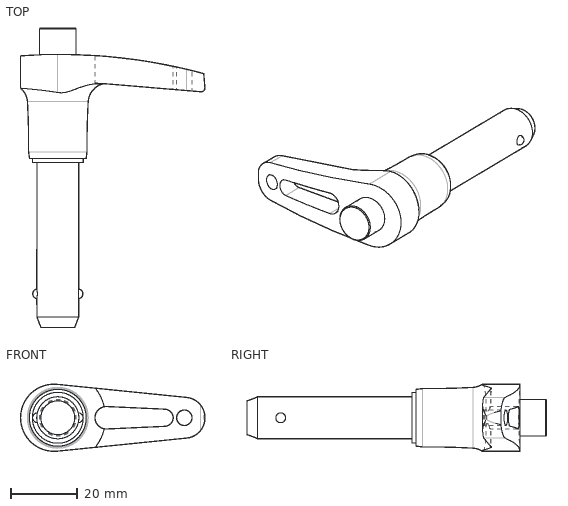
import cadquery as cq
import math


BUTTON_HEIGHT = 8.0
BUTTON_RADIUS = 5.55
BUTTON_CHAMFER = 0.3
BUTTON_ROOT_DEPTH = 2.0

HEAD_RADIUS = 10.155
HEAD_CENTRE_X = -1.1
TIP_RADIUS = 6.2
LEVER_LENGTH = 55.66
TIP_END_X = HEAD_CENTRE_X - HEAD_RADIUS + LEVER_LENGTH
TIP_CENTRE_X = TIP_END_X - TIP_RADIUS

CROWN_SUMMIT_X = 0.8
CROWN_RADIUS = 164.0
UNDERSIDE_DEPTH = 7.7
UNDERSIDE_ANGLE = 4.8
TIP_EDGE_FILLET = 1.2

SLOT_INNER_X = 14.6
SLOT_INNER_RADIUS = 3.35
SLOT_OUTER_X = 32.2
SLOT_OUTER_RADIUS = 2.55
HOLE_X = 38.15
HOLE_RADIUS = 2.3

FLARE_RADIUS = 5.7
FLARE_START_ANGLE = 4.0
SLEEVE_TOP_DEPTH = 14.2
SLEEVE_TOP_RADIUS = 9.2
SLEEVE_WAIST_RADIUS = 8.9
SLEEVE_BASE_DEPTH = 29.4
SLEEVE_BASE_RADIUS = 8.85
SLEEVE_END_DEPTH = 31.45
SLEEVE_END_RADIUS = 8.57
COLLAR_DEPTH = 32.65
COLLAR_RADIUS = 7.68

OVERALL_LENGTH = 90.42
PIN_LENGTH = OVERALL_LENGTH - BUTTON_HEIGHT
PIN_RADIUS = 6.35
PIN_END_RADIUS = 5.1
PIN_TAPER_LENGTH = 3.3
BALL_DEPTH = 72.2
BALL_RADIUS = 1.5
BALL_REACH = 7.58


def revolve_about_pin(profile):
    return profile.close().revolve(360, (0, 0, 0), (0, 1, 0))


def tapered_outline(x1, r1, x2, r2, depth):
    """Prism bounded by two circles on the X axis and their common outer tangents."""
    tilt = math.asin((r1 - r2) / (x2 - x1))
    dx, dz = math.sin(tilt), math.cos(tilt)
    return (
        cq.Workplane("XZ")
        .moveTo(x1 + r1 * dx, r1 * dz)
        .lineTo(x2 + r2 * dx, r2 * dz)
        .threePointArc((x2 + r2, 0), (x2 + r2 * dx, -r2 * dz))
        .lineTo(x1 + r1 * dx, -r1 * dz)
        .threePointArc((x1 - r1, 0), (x1 + r1 * dx, r1 * dz))
        .close()
        .extrude(depth)
    )


def lever_blank():
    return tapered_outline(HEAD_CENTRE_X, HEAD_RADIUS, TIP_CENTRE_X, TIP_RADIUS, SLEEVE_TOP_DEPTH)


def lever_side_profile():
    """Slab between the crowned top and the sloping underside, wider than the lever."""
    slope = math.radians(UNDERSIDE_ANGLE)
    head_end_x = HEAD_CENTRE_X - HEAD_RADIUS

    def underside(x):
        return (x, -UNDERSIDE_DEPTH - x * math.tan(slope))

    def crown(x):
        run = x - CROWN_SUMMIT_X
        return (x, math.sqrt(CROWN_RADIUS**2 - run**2) - CROWN_RADIUS)

    corner_trim = TIP_EDGE_FILLET * (math.cos(slope) + math.sin(slope) - 1)
    tip_bottom = underside(TIP_END_X + corner_trim)
    tip_height = crown(TIP_END_X)[1] - tip_bottom[1]
    tip_top = crown(tip_bottom[0] - tip_height * math.tan(slope))
    crown_middle = crown((CROWN_SUMMIT_X + tip_top[0]) / 2)
    return (
        cq.Workplane("XY")
        .moveTo(*crown(head_end_x))
        .threePointArc(crown_middle, tip_top)
        .lineTo(*tip_bottom)
        .lineTo(*underside(head_end_x))
        .close()
        .extrude(HEAD_RADIUS, both=True)
        .edges("|Z and >X")
        .fillet(TIP_EDGE_FILLET)
    )


def head_flare():
    """Body of revolution that sweeps from the sleeve out to the lever's underside."""
    start_angle = math.radians(FLARE_START_ANGLE)
    end_angle = math.radians(90 - UNDERSIDE_ANGLE)
    centre_x = SLEEVE_TOP_RADIUS + FLARE_RADIUS * math.cos(start_angle)
    centre_y = -SLEEVE_TOP_DEPTH - FLARE_RADIUS * math.sin(start_angle)

    def on_arc(angle):
        return (centre_x - FLARE_RADIUS * math.cos(angle), centre_y + FLARE_RADIUS * math.sin(angle))

    arc_middle = on_arc((start_angle + end_angle) / 2)
    rim = on_arc(end_angle)
    core_y = -UNDERSIDE_DEPTH / 2
    return revolve_about_pin(
        cq.Workplane("XY")
        .lineTo(0, -SLEEVE_TOP_DEPTH)
        .lineTo(SLEEVE_TOP_RADIUS, -SLEEVE_TOP_DEPTH)
        .threePointArc(arc_middle, rim)
        .lineTo(rim[0], core_y)
        .lineTo(0, core_y)
    )


def lever_openings():
    slot = tapered_outline(SLOT_INNER_X, SLOT_INNER_RADIUS, SLOT_OUTER_X, SLOT_OUTER_RADIUS, SLEEVE_TOP_DEPTH)
    hole = cq.Workplane("XZ").center(HOLE_X, 0).circle(HOLE_RADIUS).extrude(SLEEVE_TOP_DEPTH)
    return slot.union(hole)


def button():
    return (
        cq.Workplane("XZ", origin=(0, -BUTTON_ROOT_DEPTH, 0))
        .circle(BUTTON_RADIUS)
        .extrude(-BUTTON_HEIGHT - BUTTON_ROOT_DEPTH)
        .faces(">Y")
        .chamfer(BUTTON_CHAMFER)
    )


def sleeve_and_pin():
    waist_depth = (SLEEVE_TOP_DEPTH + SLEEVE_BASE_DEPTH) / 2
    return revolve_about_pin(
        cq.Workplane("XY")
        .moveTo(0, -SLEEVE_TOP_DEPTH)
        .lineTo(SLEEVE_TOP_RADIUS, -SLEEVE_TOP_DEPTH)
        .threePointArc((SLEEVE_WAIST_RADIUS, -waist_depth), (SLEEVE_BASE_RADIUS, -SLEEVE_BASE_DEPTH))
        .lineTo(SLEEVE_END_RADIUS, -SLEEVE_END_DEPTH)
        .lineTo(COLLAR_RADIUS, -SLEEVE_END_DEPTH)
        .lineTo(COLLAR_RADIUS, -COLLAR_DEPTH)
        .lineTo(PIN_RADIUS, -COLLAR_DEPTH)
        .lineTo(PIN_RADIUS, -PIN_LENGTH + PIN_TAPER_LENGTH)
        .lineTo(PIN_END_RADIUS, -PIN_LENGTH)
        .lineTo(0, -PIN_LENGTH)
    )


def locking_ball(side):
    centre = (side * (BALL_REACH - BALL_RADIUS), -BALL_DEPTH, 0)
    return cq.Workplane("XY").sphere(BALL_RADIUS).translate(centre)


handle = lever_blank().intersect(lever_side_profile().union(head_flare()))
result = handle.union(sleeve_and_pin()).cut(lever_openings()).union(button())
for side in (-1, 1):
    result = result.union(locking_ball(side))